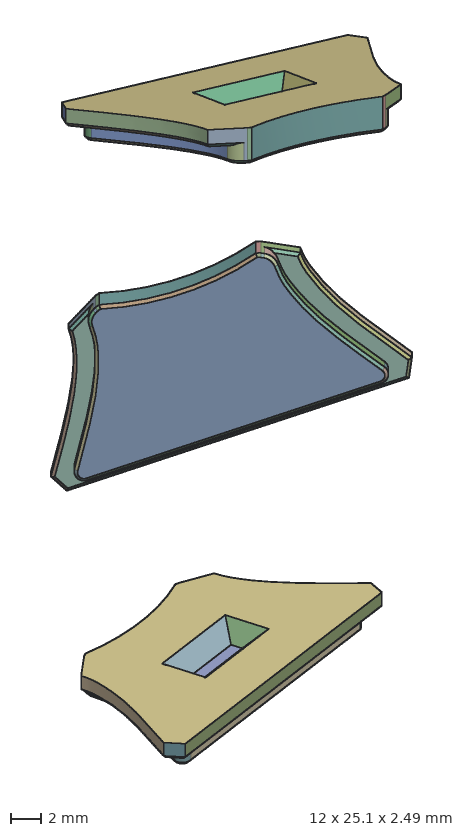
import cadquery as cq
import math

length = 25.12
width = 11.98
height = 2.49
plate_thickness = 1.23
edge_chamfer = 0.23

left_edge_half = 11.9
tip = (1.28, length / 2)
shoulder = (10.63, 8.06)
nose_start = (11.88, 5.75)
nose_end = (width, 5.45)
waist = (11.2, 0.0)
tip_slope = -0.66
flank_tangents = [(1.0, tip_slope), (1.0, 0.0)]
flank_points = [(5.15, 10.07), (7.23, 8.97), (9.07, 8.3)]

body_inset = 0.68
flank_inset = 1.5
body_tip_radius = 0.65
body_shoulder_setback = 0.68

pocket_center_x = 5.33
pocket_width = 3.4
pocket_length = 7.64
pocket_depth = 1.25
pocket_taper = 45.0


def mirrored(point):
    return (point[0], -point[1])


def make_plate():
    """Plate with concave flanks and a concave right end, chamfered underneath."""
    upper_flank = [tip] + flank_points + [shoulder]
    lower_flank = [mirrored(p) for p in reversed(upper_flank)]
    lower_tangents = [(-1.0, 0.0), (-1.0, tip_slope)]
    outline = (
        cq.Workplane("XY")
        .moveTo(0, -left_edge_half)
        .lineTo(0, left_edge_half)
        .lineTo(*tip)
        .spline(upper_flank[1:], tangents=flank_tangents, includeCurrent=True)
        .lineTo(*nose_start)
        .lineTo(*nose_end)
        .threePointArc(waist, mirrored(nose_end))
        .lineTo(*mirrored(nose_start))
        .lineTo(*mirrored(shoulder))
        .spline(lower_flank[1:], tangents=lower_tangents, includeCurrent=True)
        .close()
    )
    return outline.extrude(-plate_thickness).faces("<Z").chamfer(edge_chamfer)


def make_body():
    """Inset body with rounded left corners, reaching the plate outline at the nose."""
    flank_angle = math.atan(tip_slope)
    corner_y = tip[1] + tip_slope * (body_inset - tip[0]) - flank_inset
    setback = body_tip_radius / math.tan((math.pi / 2 + flank_angle) / 2)
    left_end = (body_inset, corner_y - setback)
    flank_start = (
        body_inset + setback * math.cos(flank_angle),
        corner_y + setback * math.sin(flank_angle),
    )
    flank_middle = []
    for x, y in flank_points:
        flank_middle.append((x, y - flank_inset))

    side_run = nose_start[0] - shoulder[0]
    side_fall = shoulder[1] - nose_start[1]
    side_angle = math.atan2(side_fall, side_run)
    level_y = shoulder[1] - flank_inset
    corner_x = shoulder[0] + flank_inset * side_run / side_fall
    flank_end = (corner_x - body_shoulder_setback, level_y)
    shoulder_end = (
        corner_x + body_shoulder_setback * math.cos(side_angle),
        level_y - body_shoulder_setback * math.sin(side_angle),
    )
    flank = [flank_start] + flank_middle + [flank_end]

    upper_half = (
        cq.Workplane("XY")
        .moveTo(body_inset, 0)
        .lineTo(*left_end)
        .tangentArcPoint(flank_start, relative=False)
        .spline(flank[1:], tangents=flank_tangents, includeCurrent=True)
        .tangentArcPoint(shoulder_end, relative=False)
        .lineTo(*nose_start)
        .lineTo(*nose_end)
    )
    outline = upper_half.threePointArc(nose_arc_middle(), waist).mirrorX()
    return outline.extrude(-height).faces("<Z").chamfer(edge_chamfer)


def nose_arc_middle():
    """Point midway along the upper half of the concave right end."""
    depth = nose_end[0] - waist[0]
    radius = (nose_end[1] ** 2 + depth ** 2) / (2 * depth)
    half_angle = math.asin(nose_end[1] / radius) / 2
    return (
        waist[0] + radius * (1 - math.cos(half_angle)),
        radius * math.sin(half_angle),
    )


def make_pocket():
    return (
        cq.Workplane("XY")
        .center(pocket_center_x, 0)
        .rect(pocket_width, pocket_length)
        .extrude(-pocket_depth, taper=pocket_taper)
    )


result = make_plate().union(make_body()).cut(make_pocket())